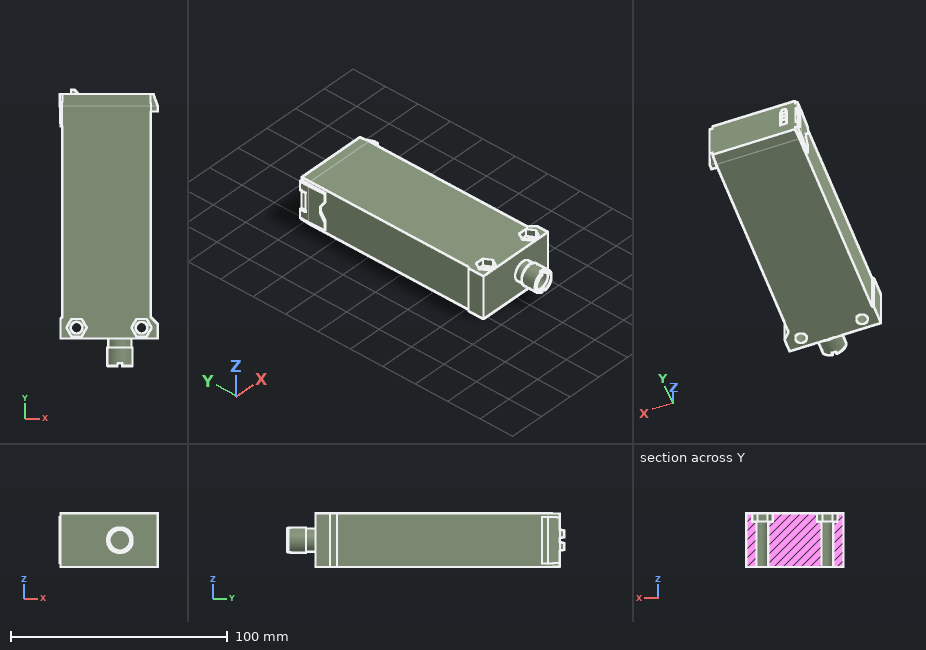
import cadquery as cq


HEIGHT = 25.0
LENGTH = 113.0
FOOT_WIDTH = 45.0
FOOT_LENGTH = 10.0
LEFT_OVERHANG = 0.8
RIGHT_OVERHANG = 3.2
FOOT_LEFT = -FOOT_WIDTH / 2
FOOT_RIGHT = FOOT_WIDTH / 2
BODY_LEFT = FOOT_LEFT + LEFT_OVERHANG
BODY_RIGHT = FOOT_RIGHT - RIGHT_OVERHANG
CAP_LENGTH = 5.5
CAP_START = LENGTH - CAP_LENGTH
CAP_DRAFT_ANGLE = 2.2

HOLE_SPACING = 30.0
HOLE_Y = 5.0
HOLE_DIAMETER = 5.3
NUT_ACROSS_CORNERS = 9.4
NUT_POCKET_DEPTH = 4.0

CONNECTOR_X = 5.0
NECK_DIAMETER = 10.8
NECK_LENGTH = 4.2
SLEEVE_DIAMETER = 11.8
CONNECTOR_LENGTH = 13.0
SLEEVE_CHAMFER = 0.5
MOUTH_DIAMETER = 9.8
MOUTH_DEPTH = 1.9
BORE_DIAMETER = 9.6
BORE_DEPTH = 9.0
KEY_SLOT_WIDTH = 2.0
KEY_SLOT_DEPTH = 1.5

PLATE_THICKNESS = 1.1
PLATE_LENGTH = 15.0
PLATE_HEIGHT = 21.2
PLATE_TAPER = 0.3
PLATE_ROOT = 1.0
NOTCH_INSET = 2.8
NOTCH_MOUTH = 11.5
NOTCH_FLOOR = 3.2
WINDOW_LENGTH = 3.6
WINDOW_HEIGHT = 11.2

LATCH_LENGTH = 8.2
LATCH_TOP_REACH = 1.2
LATCH_HEIGHT = 21.6
LATCH_TIP_HEIGHT = 21.0
LATCH_ROOT = 1.0

HOOK_REACH = 2.0
HOOK_INSET = 4.1
HOOK_BASE = 3.4
HOOK_TIP = 1.7
HOOK_HEIGHT = 4.0
HOOK_SPACING = 5.8
HOOK_TIP_HEIGHT = 3.2


def prism(points, height):
    """Extrude an XY outline along Z, centred on the middle plane."""
    return cq.Workplane("XY").polyline(points).close().extrude(height / 2, both=True)


def box(x_start, x_end, y_start, y_end, height):
    return prism([(x_start, y_start), (x_end, y_start), (x_end, y_end), (x_start, y_end)], height)


def narrowing_prism(y_start, length, start_height, end_height):
    """Symmetric YZ trapezoid, narrowing along Y and as wide in X as the foot."""
    return (
        cq.Workplane("YZ")
        .moveTo(y_start, -start_height / 2)
        .lineTo(y_start + length, -end_height / 2)
        .lineTo(y_start + length, end_height / 2)
        .lineTo(y_start, start_height / 2)
        .close()
        .extrude(FOOT_WIDTH / 2, both=True)
    )


def make_body():
    """Long housing with a drafted end cap, on a wider foot with 45 degree shoulders."""
    foot = prism(
        [
            (FOOT_LEFT, 0),
            (FOOT_RIGHT, 0),
            (FOOT_RIGHT, FOOT_LENGTH - RIGHT_OVERHANG),
            (BODY_RIGHT, FOOT_LENGTH),
            (BODY_LEFT, FOOT_LENGTH),
            (FOOT_LEFT, FOOT_LENGTH - LEFT_OVERHANG),
        ],
        HEIGHT,
    )
    housing = box(BODY_LEFT, BODY_RIGHT, 0, CAP_START, HEIGHT)
    body_centre = (BODY_LEFT + BODY_RIGHT) / 2
    cap = cq.Workplane("XZ", origin=(body_centre, CAP_START, 0))
    cap = cap.rect(BODY_RIGHT - BODY_LEFT, HEIGHT).extrude(-CAP_LENGTH, taper=CAP_DRAFT_ANGLE)
    return foot.union(housing).union(cap)


def make_mounting_cuts():
    """Through holes with hexagonal nut pockets in the upper face."""
    centres = [(-HOLE_SPACING / 2, HOLE_Y), (HOLE_SPACING / 2, HOLE_Y)]
    holes = cq.Workplane("XY").pushPoints(centres).circle(HOLE_DIAMETER / 2)
    holes = holes.extrude(HEIGHT, both=True)
    pockets = cq.Workplane("XY", origin=(0, 0, HEIGHT / 2)).pushPoints(centres)
    pockets = pockets.polygon(6, NUT_ACROSS_CORNERS).extrude(-NUT_POCKET_DEPTH)
    return holes.union(pockets)


def make_connector():
    """Stepped round socket with a blind bore, widened at its mouth, and two key slots."""
    front = cq.Workplane("XZ", origin=(CONNECTOR_X, 0, 0))
    neck = front.circle(NECK_DIAMETER / 2).extrude(NECK_LENGTH)
    sleeve = front.workplane(offset=NECK_LENGTH).circle(SLEEVE_DIAMETER / 2)
    sleeve = sleeve.extrude(CONNECTOR_LENGTH - NECK_LENGTH).faces("<Y").chamfer(SLEEVE_CHAMFER)
    mouth = front.workplane(offset=CONNECTOR_LENGTH)
    bore = mouth.circle(BORE_DIAMETER / 2).extrude(-BORE_DEPTH)
    recess = mouth.circle(MOUTH_DIAMETER / 2).extrude(-MOUTH_DEPTH)
    slots = mouth.rect(KEY_SLOT_WIDTH, SLEEVE_DIAMETER).extrude(-KEY_SLOT_DEPTH)
    return neck.union(sleeve).cut(bore).cut(recess).cut(slots)


def make_side_plate():
    """Plate thinning away from the cap, with a V-shaped notch and an open window.

    It is rooted inside the body so that it also closes onto the drafted cap.
    """
    outer = FOOT_LEFT - (PLATE_THICKNESS - LEFT_OVERHANG)
    start = LENGTH - PLATE_LENGTH
    root = BODY_LEFT + PLATE_ROOT
    plate = prism(
        [
            (root, start),
            (outer + PLATE_TAPER, start),
            (outer, CAP_START),
            (outer, LENGTH),
            (root, LENGTH),
        ],
        PLATE_HEIGHT,
    )
    notch = (
        cq.Workplane("YZ", origin=(BODY_LEFT, 0, 0))
        .moveTo(start, -NOTCH_MOUTH / 2)
        .lineTo(start + NOTCH_INSET, -NOTCH_FLOOR / 2)
        .lineTo(start + NOTCH_INSET, NOTCH_FLOOR / 2)
        .lineTo(start, NOTCH_MOUTH / 2)
        .close()
        .extrude(-2 * PLATE_THICKNESS)
    )
    window = box(outer, BODY_LEFT, LENGTH - WINDOW_LENGTH, LENGTH, WINDOW_HEIGHT)
    return plate.cut(notch).cut(window)


def make_latch():
    """Latch reaching as far as the foot, with a wedge on the cap that narrows to its end."""
    root = BODY_RIGHT - LATCH_ROOT
    heel = box(root, FOOT_RIGHT, LENGTH - LATCH_LENGTH, CAP_START, LATCH_HEIGHT)
    wedge = prism(
        [
            (root, CAP_START),
            (FOOT_RIGHT, CAP_START),
            (BODY_RIGHT + LATCH_TOP_REACH, LENGTH),
            (root, LENGTH),
        ],
        LATCH_HEIGHT,
    )
    sides = narrowing_prism(CAP_START, CAP_LENGTH, LATCH_HEIGHT, LATCH_TIP_HEIGHT)
    return heel.union(wedge.intersect(sides))


def make_hook(z_centre):
    """Small hook on the end face, sloped on one side and narrowing towards its tip."""
    left = BODY_LEFT + HOOK_INSET
    hook = prism(
        [
            (left, LENGTH),
            (left + HOOK_BASE, LENGTH),
            (left + HOOK_TIP, LENGTH + HOOK_REACH),
            (left, LENGTH + HOOK_REACH),
        ],
        HOOK_HEIGHT,
    )
    sides = narrowing_prism(LENGTH, HOOK_REACH, HOOK_HEIGHT, HOOK_TIP_HEIGHT)
    return hook.intersect(sides).translate((0, 0, z_centre))


result = make_body().cut(make_mounting_cuts()).union(make_connector())
result = result.union(make_side_plate()).union(make_latch())
for side in (-1, 1):
    result = result.union(make_hook(side * HOOK_SPACING / 2))